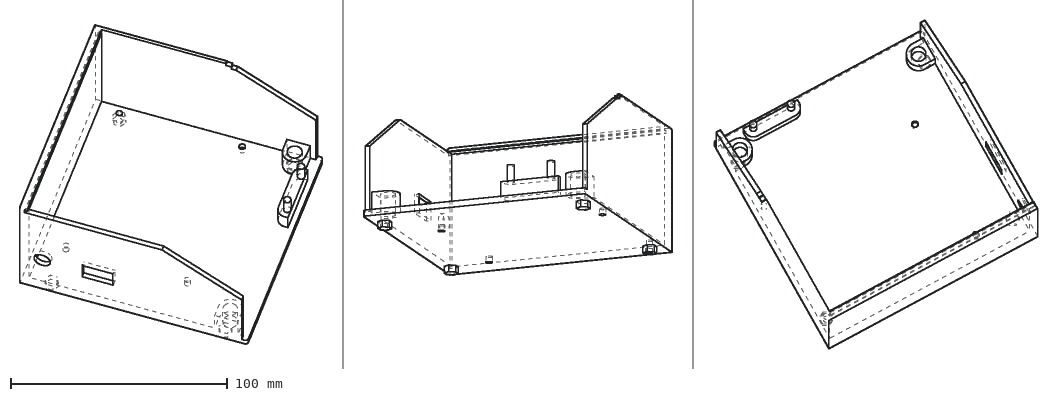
import cadquery as cq
import math

length = 110.8
width = 110.0
foot_height = 3.2
height = 62.9 - foot_height
floor_thickness = 2.9
back_thickness = 3.8
side_thickness = 2.3
lip_depth = 2.8
lip_corner = 1.4
wall_front = length - lip_depth

slope_start = 69.3
slope_angle = 30.0
slope_drop = (wall_front - slope_start) * math.tan(math.radians(slope_angle))

top_edge_radius = 1.5
lid_ceiling = height - top_edge_radius
lid_floor = height - 3.1
lid_groove_back = 2.3
lid_step_front = 66.8
lid_opening_front = 64.2

port_diameter = 7.9
port_x = 11.0
port_z = 22.6
window_length = 15.0
window_height = 8.9
window_x = 37.9

screw_diameter = 2.9
screw_points = [(13.6, 104.0), (73.4, 104.0), (14.1, 24.8), (73.4, 24.3)]

boss_x = 99.7
boss_inset = 8.0
boss_radius = 5.7
boss_height = 9.9
boss_hole_diameter = 6.9

pin_x = 106.3
pin_ys = (71.4, 91.3)
pin_diameter = 3.4
pin_height = 7.8
block_radius = 4.3
block_height = 7.8

foot_diameter = 6.4
foot_xs = (13.5, 98.1)
foot_inset = 5.9


def box(x0, x1, y0, y1, z0, z1):
    """Box between opposite corners."""
    return cq.Workplane("XY").box(x1 - x0, y1 - y0, z1 - z0, centered=False).translate((x0, y0, z0))


def cylinder(x, y, z, diameter, cylinder_height):
    """Vertical cylinder standing on height z."""
    return cq.Workplane("XY", origin=(x, y, z)).circle(diameter / 2).extrude(cylinder_height)


def make_shell():
    """Floor, back wall and sloped side walls, open at the top and the front."""
    outline = [
        (0, 0),
        (wall_front, 0),
        (wall_front, lid_floor - slope_drop),
        (slope_start, lid_floor),
        (lid_step_front, lid_floor),
        (lid_step_front, lid_ceiling),
        (lid_opening_front, lid_ceiling),
        (lid_opening_front, height),
        (0, height),
    ]
    shell = cq.Workplane("XZ").polyline(outline).close().extrude(-width)
    long_top_edges = cq.selectors.BoxSelector(
        (0, -1.1, height - 0.1), (lid_opening_front, width + 1.1, height + 0.1)
    )
    shell = shell.edges(long_top_edges).edges("|X").fillet(top_edge_radius)
    cavity = box(back_thickness, length, side_thickness, width - side_thickness, floor_thickness, height)
    lip = box(0, length, 0, width, 0, floor_thickness).edges("|Z and >X").fillet(lip_corner)
    return shell.cut(cavity).union(lip)


def make_lid_seat():
    """Space swept by the lid as it slides in through the near side wall."""
    inner_end = width - side_thickness
    groove = box(lid_groove_back, length, 0, inner_end, lid_floor, lid_ceiling)
    opening = box(back_thickness, length, 0, inner_end, lid_floor, height)
    return groove.union(opening)


def make_wall_openings():
    """Round port and rectangular window through the near side wall."""
    plane = cq.Workplane("XZ")
    port = plane.center(port_x, port_z).circle(port_diameter / 2).extrude(-side_thickness)
    window = plane.center(window_x, port_z).rect(window_length, window_height).extrude(-side_thickness)
    return port.union(window)


def make_boss(y, wall_y):
    """Round boss with a straight web to the wall and a blind hole down to the floor."""
    boss = cylinder(boss_x, y, floor_thickness, 2 * boss_radius, boss_height)
    web = box(
        boss_x - boss_radius,
        boss_x + boss_radius,
        min(y, wall_y),
        max(y, wall_y),
        floor_thickness,
        floor_thickness + boss_height,
    )
    hole = cylinder(boss_x, y, floor_thickness, boss_hole_diameter, boss_height)
    return boss.union(web).cut(hole)


def make_pin_block():
    """Block with rounded back corners and a flat front, carrying two pins."""
    block_top = floor_thickness + block_height
    block = box(
        pin_x - block_radius,
        wall_front,
        pin_ys[0] - block_radius,
        pin_ys[1] + block_radius,
        floor_thickness,
        block_top,
    )
    block = block.edges("|Z and <X").fillet(block_radius)
    for y in pin_ys:
        block = block.union(cylinder(pin_x, y, block_top, pin_diameter, pin_height))
    return block


def make_feet():
    """Four hexagonal feet under the floor, corners pointing along X."""
    points = [(x, y) for x in foot_xs for y in (foot_inset, width - foot_inset)]
    return cq.Workplane("XY").pushPoints(points).polygon(6, foot_diameter).extrude(-foot_height)


result = make_shell().cut(make_lid_seat()).cut(make_wall_openings())
result = result.union(make_boss(boss_inset, side_thickness))
result = result.union(make_boss(width - boss_inset, width - side_thickness))
result = result.union(make_pin_block()).union(make_feet())
for screw_x, screw_y in screw_points:
    screw_hole = cylinder(screw_x, screw_y, -foot_height, screw_diameter, foot_height + floor_thickness)
    result = result.cut(screw_hole)